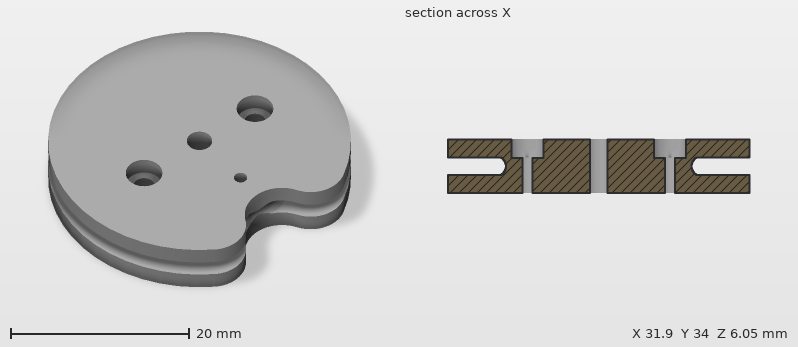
import cadquery as cq
import math

disc_radius = 17.0
flange_thickness = 2.05
groove_width = 1.95
total_height = 2 * flange_thickness + groove_width

waist_root_radius = 10.5
waist_edge_radius = 11.05
rim_clearance = 0.35

notch_radius = 4.18
notch_bottom_x = 10.57
lobe_radius = 3.87

axle_diameter = 2.85
screw_diameter = 2.35
counterbore_diameter = 4.1
counterbore_depth = 2.05
screw_offset = 8.0
pin_diameter = 1.5
pin_offset = 7.35


def outline():
    """Disc outline whose notch blends into the rim through two round lobes."""
    notch_x = notch_bottom_x + notch_radius
    rim_distance = disc_radius - lobe_radius
    notch_distance = notch_radius + lobe_radius
    lobe_x = (rim_distance**2 - notch_distance**2 + notch_x**2) / (2 * notch_x)
    lobe_y = math.sqrt(rim_distance**2 - lobe_x**2)

    rim_scale = disc_radius / rim_distance
    rim_x = lobe_x * rim_scale
    rim_y = lobe_y * rim_scale
    notch_share = notch_radius / notch_distance
    blend_x = notch_x + (lobe_x - notch_x) * notch_share
    blend_y = lobe_y * notch_share
    lobe_tip_x = lobe_x + lobe_radius

    return (
        cq.Workplane("XY")
        .moveTo(rim_x, rim_y)
        .threePointArc((-disc_radius, 0), (rim_x, -rim_y))
        .threePointArc((lobe_tip_x, -lobe_y), (blend_x, -blend_y))
        .threePointArc((notch_bottom_x, 0), (blend_x, blend_y))
        .threePointArc((lobe_tip_x, lobe_y), (rim_x, rim_y))
        .close()
    )


def groove():
    """Ring removed between the flanges, down to the concave waist."""
    groove_top = flange_thickness + groove_width
    clear_radius = disc_radius + rim_clearance
    return (
        cq.Workplane("XZ")
        .moveTo(clear_radius, flange_thickness)
        .lineTo(waist_edge_radius, flange_thickness)
        .threePointArc((waist_root_radius, total_height / 2), (waist_edge_radius, groove_top))
        .lineTo(clear_radius, groove_top)
        .close()
        .revolve(360, (0, 0, 0), (0, 1, 0))
    )


def top_points(body, points):
    """Places on the top face of the body, given in X and Y."""
    return body.faces(">Z").workplane(origin=(0, 0, total_height)).pushPoints(points)


screw_points = [(0, screw_offset), (0, -screw_offset)]

body = outline().extrude(total_height).cut(groove())
body = top_points(body, [(0, 0)]).hole(axle_diameter)
body = top_points(body, [(pin_offset, 0)]).hole(pin_diameter)
result = top_points(body, screw_points).cboreHole(screw_diameter, counterbore_diameter, counterbore_depth)